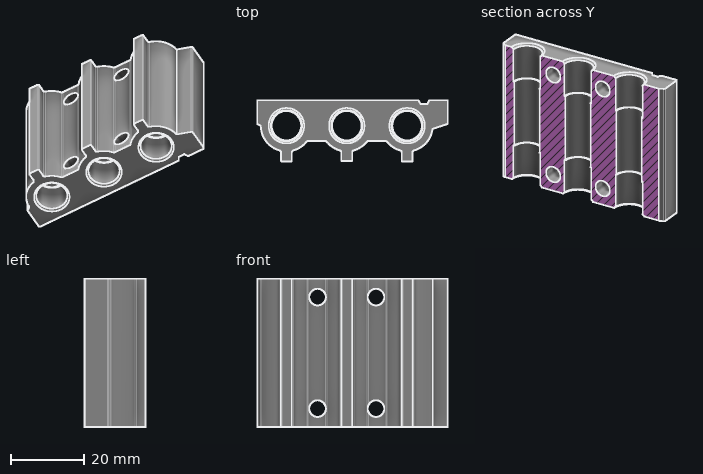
import cadquery as cq
import math

length = 52.1
depth = 16.8
height = 40.5
left = -length / 2
right = length / 2
back = depth / 2
front = -depth / 2

bore_pitch = 16.45
middle_bore_x = -1.55
bore_xs = [middle_bore_x + step * bore_pitch for step in (-1, 0, 1)]
bore_y = back - 7.0
bore_diameter = 8.0
port_diameter = 8.55
port_depth = 10.4
port_rim_diameter = 9.7
lobe_radius = 7.05
rib_width = 3.0
middle_rib_setback = 0.1

wall_y = back - 11.2
shoulder_y = back - 6.5
left_shoulder_angle = math.radians(27)
right_shoulder_angle = math.radians(18)

groove_x = 19.5
groove_floor_width = 1.75
groove_depth = 1.05
groove_side_angle = math.radians(30)

mount_diameter = 4.5
mount_spacing_x = 15.95
mount_spacing_z = 30.45

back_corner_radius = 0.25
left_corner_radius = 0.35
right_corner_radius = 0.5
rib_tip_radius = 0.25
shoulder_root_radius = 0.25
rib_root_radius = 0.45
wall_root_radius = 0.4


def shoulder_drop(run, angle):
    """Drop of a shoulder toward the front over a run along X from its end."""
    return run * math.tan(angle)


def extrude_outline(points):
    return cq.Workplane("XY").polyline(points).close().extrude(height / 2, both=True)


def make_plate():
    first_x = bore_xs[0]
    last_x = bore_xs[-1]
    return extrude_outline([
        (left, back),
        (right, back),
        (right, shoulder_y),
        (last_x, shoulder_y - shoulder_drop(right - last_x, right_shoulder_angle)),
        (last_x, wall_y),
        (first_x, wall_y),
        (first_x, shoulder_y - shoulder_drop(first_x - left, left_shoulder_angle)),
        (left, shoulder_y),
    ])


def rib_tip_y(x):
    return front + middle_rib_setback if x == middle_bore_x else front


def make_lobe(x):
    """Round lobe with a rib along its front."""
    lobe = cq.Workplane("XY").center(x, bore_y).circle(lobe_radius).extrude(height / 2, both=True)
    rib_length = bore_y - rib_tip_y(x)
    rib = cq.Workplane("XY").box(rib_width, rib_length, height)
    return lobe.union(rib.translate((x, bore_y - rib_length / 2, 0)))


def make_groove():
    half_floor = groove_floor_width / 2
    half_mouth = half_floor + groove_depth * math.tan(groove_side_angle)
    return extrude_outline([
        (groove_x - half_mouth, back),
        (groove_x - half_floor, back - groove_depth),
        (groove_x + half_floor, back - groove_depth),
        (groove_x + half_mouth, back),
    ])


def make_bore(x):
    """Through bore with a wider, chamfered port at both ends, as a solid of revolution."""
    bore_radius = bore_diameter / 2
    port_radius = port_diameter / 2
    rim_radius = port_rim_diameter / 2
    port_floor_z = height / 2 - port_depth
    chamfer_z = height / 2 - (rim_radius - port_radius)
    upper_half = (
        cq.Workplane("XZ")
        .polyline([
            (0, 0),
            (bore_radius, 0),
            (bore_radius, port_floor_z),
            (port_radius, port_floor_z),
            (port_radius, chamfer_z),
            (rim_radius, height / 2),
            (0, height / 2),
        ])
        .close()
        .revolve(360, (0, 0), (0, 1))
    )
    return upper_half.union(upper_half.mirror("XY")).translate((x, bore_y, 0))


def make_mount_holes():
    return (
        cq.Workplane("XZ")
        .center(middle_bore_x, 0)
        .rect(mount_spacing_x, mount_spacing_z, forConstruction=True)
        .vertices()
        .circle(mount_diameter / 2)
        .extrude(depth, both=True)
    )


def round_corner(body, x, y, radius):
    """Round the vertical edge nearest to the given corner."""
    return body.edges("|Z").edges(cq.NearestToPointSelector((x, y, 0))).fillet(radius)


def round_corners(body):
    for x in (left, right):
        body = round_corner(body, x, back, back_corner_radius)
    body = round_corner(body, left, shoulder_y, left_corner_radius)
    body = round_corner(body, right, shoulder_y, right_corner_radius)

    lobe_side_x = bore_xs[0] - lobe_radius
    shoulder_end_y = shoulder_y - shoulder_drop(lobe_side_x - left, left_shoulder_angle)
    body = round_corner(body, lobe_side_x, shoulder_end_y, shoulder_root_radius)

    half_rib = rib_width / 2
    root_y = bore_y - math.sqrt(lobe_radius**2 - half_rib**2)
    for x in bore_xs:
        for side in (-half_rib, half_rib):
            body = round_corner(body, x + side, rib_tip_y(x), rib_tip_radius)
            body = round_corner(body, x + side, root_y, rib_root_radius)

    half_chord = math.sqrt(lobe_radius**2 - (bore_y - wall_y)**2)
    for left_x, right_x in zip(bore_xs, bore_xs[1:]):
        body = round_corner(body, left_x + half_chord, wall_y, wall_root_radius)
        body = round_corner(body, right_x - half_chord, wall_y, wall_root_radius)
    return body


body = make_plate()
for x in bore_xs:
    body = body.union(make_lobe(x))
body = body.intersect(cq.Workplane("XY").box(length, depth, height))
body = round_corners(body)

body = body.cut(make_groove())
for x in bore_xs:
    body = body.cut(make_bore(x))
result = body.cut(make_mount_holes())